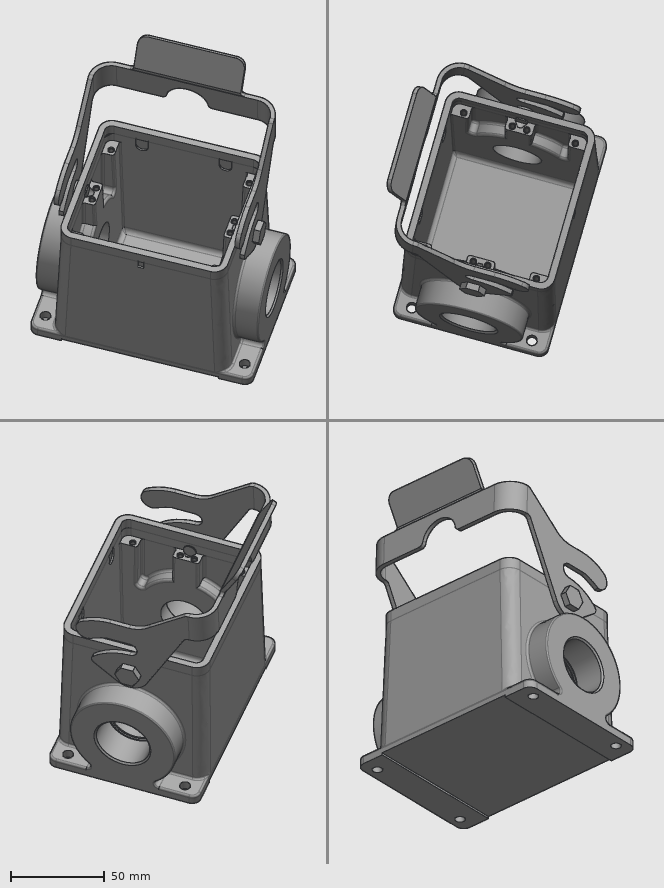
import cadquery as cq
import math

PICK_GAP = 0.1

BASE_X = 124.6
BASE_Y = 86.0
BASE_TOP = 5.5
BASE_CORNER_R = 5.0
BASE_EDGE_R = 1.2
MOUNT_HOLE_D = 5.7
MOUNT_X = 55.85
MOUNT_Y = 33.4
RELIEF_X = 88.0
RELIEF_DEPTH = 1.3

BODY_FOOT_Z = 2.0
BODY_FOOT_X = 99.0
BODY_FOOT_Y = BASE_Y
RIM_X = 93.2
RIM_Y = 83.0
RIM_Z = 83.5
BODY_TOP = 90.0
BODY_CORNER_R = 7.5

FLOOR_Z = 4.5
OPENING_X = 86.2
OPENING_Y = 75.4
OPENING_CORNER_R = 4.0
CAVITY_TOP_X = 72.4
PILLAR_LEVEL_X = 85.8
CAVITY_FLOOR_X = 66.6
CAVITY_FLOOR_Y = 70.6
CAVITY_CORNER_R = 1.0
FLOOR_FILLET_R = 2.8

PILLAR_TOP = 77.7
MID_PILLAR_HALF_Y = 7.6
END_PILLAR_Y = 27.6
SADDLE_R = 28.0
SADDLE_FILLET_R = 2.5
PILLAR_EDGE_R = 1.5
POCKET_BACK_R = 1.5
SCREW_X = 38.7
SCREW_Y = (4.0, 31.1)
SCREW_PILOT_D = 2.5
SCREW_PILOT_DEPTH = 14.0
SCREW_LEAD_D = 3.5
SCREW_LEAD_DEPTH = 1.0

FRONT_NOTCH_WIDTH = 3.2
FRONT_NOTCH_HEIGHT = 4.8
FRONT_NOTCH_DEPTH = 1.0
INNER_NOTCH_WIDTH = 7.0
INNER_NOTCH_HEIGHT = 8.5
INNER_NOTCH_CORNER_R = 3.4
INNER_NOTCH_DEPTH = 0.8
INNER_NOTCH_X = 23.4

BORE_Z = 32.9
BOSS_R = 29.9
BOSS_FOOT_R = 2.5
BOSS_EDGE_R = 0.7
ROOT_FILLET_R = 1.2
BOSS_INNER_X = 44.0
ENTRY_D = 30.5
ENTRY_DEPTH = 18.0
ENTRY_CHAMFER = 1.0
THROUGH_D = 27.0
STEP_D = 29.0
STEP_DEPTH = 1.0

PIN_Z = 78.5
PIN_SHANK_D = 9.0
PIN_END_D = 7.2
PIN_END_X = 42.3
PIN_DRILL_TIP_D = 2.7
PIN_DRILL_TIP_X = 38.9
HEX_FLATS = 12.0
HEX_END_X = 55.6

LEVER_X = 104.0
SHEET = 2.6
LEVER_BEND_R = 12.5
LEVER_TILT = 2.2
BAND_TOP = 135.0
BAND_BOTTOM = 117.1
BAND_TOP_Y = 46.2
PIN_LOBE_R = 11.3
SLOT_R = 4.3
SLOT_Y = 0.3
SLOT_Z = 96.7
BAND_FRONT_Y = 34.1
UPPER_SHOULDER_MID = (32.6, 134.8)
UPPER_SHOULDER_END = (31.3, 134.1)
NECK_START = (11.3, 118.2)
NECK_MID = (6.0, 114.8)
NECK_END_Y = 0.1
HOOK_TOP = 113.5
HOOK_STRAIGHT_Y = -11.2
HOOK_BACK_MID = (-19.5, 112.2)
HOOK_BACK_END = (-26.7, 109.0)
HOOK_NOSE = (-30.4, 103.2)
HOOK_TIP_END = (-23.2, 96.7)
HOOK_THROAT_MID = (-18.0, 99.2)
HOOK_THROAT_Y = -12.7
JAW_TOP_MID = (-11.0, 89.9)
JAW_TOP_END = (-20.9, 83.4)
JAW_NOSE = (-21.4, 81.7)
JAW_BOTTOM_START = (-20.6, 79.6)
PIN_LOBE_START = (-6.6, 69.3)
PIN_LOBE_LOW_Y = 1.0
PIN_LOBE_END = (10.0, 73.3)
LOWER_SHOULDER_START = (31.2, 115.4)
LOWER_SHOULDER_MID = (32.4, 116.7)

BAND_NOTCH_HALF = 11.5
BAND_NOTCH_TOP = 129.4
BAND_NOTCH_LIP_R = 3.0

TAB_ANGLE = 28.5
TAB_BEND_Z = 136.9
TAB_WIDTH = 60.0
TAB_TOP_Z = 154.26
OVERALL_Y = 98.61
TAB_REAR_Y = OVERALL_Y - BASE_Y / 2
TAB_CORNER_R = 5.5


def rounded_box(size_x, size_y, corner_r, z_low, z_high):
    """Upright block centred on the Z axis with rounded vertical edges."""
    block = cq.Workplane("XY").workplane(offset=z_low).rect(size_x, size_y).extrude(z_high - z_low)
    return block.edges("|Z").fillet(corner_r)


def rounded_rect(size_x, size_y, corner_r):
    return cq.Sketch().rect(size_x, size_y).vertices().fillet(corner_r)


def rod(diameter, x_start, x_end, y, z):
    """Cylinder along X between two X positions."""
    return cq.Workplane("YZ", origin=(x_start, y, z)).circle(diameter / 2).extrude(x_end - x_start)


def on_both_ends(shape):
    """The shape together with its mirror image at the other X end."""
    return shape.union(shape.mirror("YZ"))


def make_base():
    base = rounded_box(BASE_X, BASE_Y, BASE_CORNER_R, 0, BASE_TOP)
    return base.faces(">Z").edges().fillet(BASE_EDGE_R)


def make_body():
    to_rim = cq.Location(cq.Vector(0, 0, RIM_Z - BODY_FOOT_Z))
    foot = rounded_rect(BODY_FOOT_X, BODY_FOOT_Y, BODY_CORNER_R)
    shoulder = rounded_rect(RIM_X, RIM_Y, BODY_CORNER_R).moved(to_rim)
    drafted = cq.Workplane("XY", origin=(0, 0, BODY_FOOT_Z)).placeSketch(foot, shoulder).loft()
    return drafted.union(rounded_box(RIM_X, RIM_Y, BODY_CORNER_R, RIM_Z, BODY_TOP))


def make_boss():
    """Cable entry boss on the +X end: a round boss whose flanks flare into a foot on the flange."""
    flare_z = BASE_TOP + BOSS_FOOT_R
    reach = BOSS_R + BOSS_FOOT_R
    flare_y = math.sqrt(reach ** 2 - (BORE_Z - flare_z) ** 2)
    tangent_y = flare_y * BOSS_R / reach
    tangent_z = BORE_Z - (BORE_Z - flare_z) * BOSS_R / reach
    waist_y = flare_y - BOSS_FOOT_R
    profile = (
        cq.Workplane("YZ", origin=(BOSS_INNER_X, 0, 0))
        .moveTo(-flare_y, BODY_FOOT_Z)
        .lineTo(-flare_y, BASE_TOP)
        .threePointArc((-waist_y, flare_z), (-tangent_y, tangent_z))
        .threePointArc((0, BORE_Z + BOSS_R), (tangent_y, tangent_z))
        .threePointArc((waist_y, flare_z), (flare_y, BASE_TOP))
        .lineTo(flare_y, BODY_FOOT_Z)
        .close()
    )
    boss = profile.extrude(BASE_X / 2 - BOSS_INNER_X)
    rim = cq.selectors.BoxSelector(
        (BASE_X / 2 - PICK_GAP, -BOSS_R - PICK_GAP, BASE_TOP + PICK_GAP),
        (BASE_X / 2 + PICK_GAP, BOSS_R + PICK_GAP, BORE_Z + BOSS_R + PICK_GAP),
    )
    return boss.edges(rim).fillet(BOSS_EDGE_R)


def fillet_wall_roots(housing):
    """Round the corners where the drafted end walls meet the flange and the bosses."""
    wall_x = BODY_FOOT_X / 2 + PICK_GAP
    wall_y = BODY_FOOT_Y / 2 - BASE_EDGE_R - PICK_GAP
    roots = cq.selectors.BoxSelector(
        (-wall_x, -wall_y, BASE_TOP - PICK_GAP), (wall_x, wall_y, BORE_Z + BOSS_R + PICK_GAP)
    )
    return housing.edges(roots).fillet(ROOT_FILLET_R)


def drafted_opening(top_x, floor_x, floor_z):
    """Square-cornered drafted opening from the rim down to floor_z, with one draft on the long walls."""
    depth = RIM_Z - floor_z
    floor_y = OPENING_Y - (OPENING_Y - CAVITY_FLOOR_Y) * depth / (RIM_Z - FLOOR_Z)
    return (
        cq.Workplane("XY", origin=(0, 0, floor_z))
        .rect(floor_x, floor_y)
        .workplane(offset=depth)
        .rect(top_x, OPENING_Y)
        .loft()
    )


def make_cavity():
    rim = rounded_box(OPENING_X, OPENING_Y, OPENING_CORNER_R, RIM_Z, BODY_TOP)
    above_pillars = drafted_opening(OPENING_X, PILLAR_LEVEL_X, PILLAR_TOP)
    above_pillars = above_pillars.edges("not #Z").fillet(OPENING_CORNER_R)
    main = drafted_opening(CAVITY_TOP_X, CAVITY_FLOOR_X, FLOOR_Z)
    main = main.faces("<Z").edges().fillet(FLOOR_FILLET_R)
    between_ends = cq.selectors.BoxSelector(
        (-OPENING_X, -OPENING_Y, FLOOR_Z + FLOOR_FILLET_R + PICK_GAP),
        (OPENING_X, OPENING_Y, RIM_Z - PICK_GAP),
    )
    main = main.edges(between_ends).fillet(CAVITY_CORNER_R)
    return rim.union(above_pillars).union(main)


def make_pillar_pocket():
    """Pocket between the middle and +Y end pillars, with its floor curved around the cable bore."""
    start_x = CAVITY_FLOOR_X / 2 - FLOOR_FILLET_R
    reach = SADDLE_R + SADDLE_FILLET_R
    corner_y = END_PILLAR_Y - SADDLE_FILLET_R
    corner_z = math.sqrt(reach ** 2 - corner_y ** 2)
    slope = SADDLE_R / reach
    inner_z = math.sqrt(SADDLE_R ** 2 - MID_PILLAR_HALF_Y ** 2)
    crown = math.atan2((inner_z + corner_z * slope) / 2, (MID_PILLAR_HALF_Y + corner_y * slope) / 2)
    low_angle = math.atan2(-corner_z, -corner_y) / 2
    pocket = (
        cq.Workplane("YZ", origin=(start_x, 0, BORE_Z))
        .moveTo(MID_PILLAR_HALF_Y, PILLAR_TOP - BORE_Z)
        .lineTo(MID_PILLAR_HALF_Y, inner_z)
        .threePointArc(
            (SADDLE_R * math.cos(crown), SADDLE_R * math.sin(crown)), (corner_y * slope, corner_z * slope)
        )
        .threePointArc(
            (
                corner_y + SADDLE_FILLET_R * math.cos(low_angle),
                corner_z + SADDLE_FILLET_R * math.sin(low_angle),
            ),
            (END_PILLAR_Y, corner_z),
        )
        .lineTo(END_PILLAR_Y, PILLAR_TOP - BORE_Z)
        .close()
        .extrude(PILLAR_LEVEL_X / 2 - start_x)
    )
    return pocket.faces(">X").edges("not >Z").fillet(POCKET_BACK_R)


def cut_pillar_pockets(housing):
    """Cut the pockets that leave the pillars standing, and round their mouths."""
    pocket = make_pillar_pocket()
    housing = housing.cut(on_both_ends(pocket.union(pocket.mirror("XZ"))))
    inner_x = CAVITY_FLOOR_X / 2
    outer_x = CAVITY_TOP_X / 2
    mouth_y = END_PILLAR_Y + PICK_GAP
    mouths = []
    for low_x, high_x in ((-outer_x, -inner_x), (inner_x, outer_x)):
        wall = cq.selectors.BoxSelector(
            (low_x, -mouth_y, BORE_Z), (high_x, mouth_y, PILLAR_TOP - PICK_GAP)
        )
        mouths += housing.edges(wall).vals()
    return housing.newObject(mouths).fillet(PILLAR_EDGE_R)


def cut_pillar_screws(housing):
    places = [(sx * SCREW_X, sy * y) for sx in (-1, 1) for sy in (-1, 1) for y in SCREW_Y]
    top = cq.Workplane("XY", origin=(0, 0, PILLAR_TOP)).pushPoints(places)
    pilots = top.circle(SCREW_PILOT_D / 2).extrude(-SCREW_PILOT_DEPTH)
    leads = top.circle(SCREW_LEAD_D / 2).extrude(-SCREW_LEAD_DEPTH)
    return housing.cut(pilots).cut(leads)


def cut_pin_drill_points(housing):
    """Conical ends of the pin holes, leaving a groove in the top of each middle pillar."""
    point = (
        cq.Workplane("YZ", origin=(PIN_DRILL_TIP_X, 0, PIN_Z))
        .circle(PIN_DRILL_TIP_D / 2)
        .workplane(offset=PIN_END_X - PIN_DRILL_TIP_X)
        .circle(PIN_END_D / 2)
        .loft()
    )
    return housing.cut(on_both_ends(point))


def cut_cable_entry(housing):
    face_x = BASE_X / 2
    seat_x = face_x - ENTRY_DEPTH
    entry = rod(ENTRY_D, seat_x, face_x, 0, BORE_Z)
    step = rod(STEP_D, seat_x - STEP_DEPTH, seat_x, 0, BORE_Z)
    mouth = (
        cq.Workplane("YZ", origin=(face_x, 0, BORE_Z))
        .circle(ENTRY_D / 2 + ENTRY_CHAMFER)
        .workplane(offset=-ENTRY_CHAMFER)
        .circle(ENTRY_D / 2)
        .loft()
    )
    housing = housing.cut(on_both_ends(entry.union(step).union(mouth)))
    return housing.cut(rod(THROUGH_D, -face_x, face_x, 0, BORE_Z))


def cut_notches(housing):
    front = (
        cq.Workplane("XY")
        .box(FRONT_NOTCH_WIDTH, BASE_Y, FRONT_NOTCH_HEIGHT, centered=(True, False, False))
        .translate((0, -BASE_Y - RIM_Y / 2 + FRONT_NOTCH_DEPTH, RIM_Z - FRONT_NOTCH_HEIGHT))
    )
    depth_y = OPENING_Y + 2 * INNER_NOTCH_DEPTH
    inner = (
        cq.Workplane("XZ", origin=(0, depth_y / 2, RIM_Z - INNER_NOTCH_HEIGHT / 2))
        .rect(INNER_NOTCH_WIDTH, INNER_NOTCH_HEIGHT)
        .extrude(depth_y)
        .edges("|Y and <Z")
        .fillet(INNER_NOTCH_CORNER_R)
    )
    for side in (-1, 1):
        housing = housing.cut(inner.translate((side * INNER_NOTCH_X, 0, 0)))
    return housing.cut(front)


def make_housing():
    housing = make_base().union(on_both_ends(make_boss())).union(make_body())
    housing = fillet_wall_roots(housing)
    housing = housing.cut(make_cavity())
    housing = cut_pillar_pockets(housing)
    housing = cut_pillar_screws(housing)
    housing = cut_pin_drill_points(housing)
    housing = cut_cable_entry(housing)
    housing = cut_notches(housing)
    mounts = (
        cq.Workplane("XY")
        .rect(2 * MOUNT_X, 2 * MOUNT_Y, forConstruction=True)
        .vertices()
        .circle(MOUNT_HOLE_D / 2)
        .extrude(BASE_TOP)
    )
    relief = cq.Workplane("XY").box(RELIEF_X, BASE_Y, RELIEF_DEPTH, centered=(True, True, False))
    return housing.cut(mounts).cut(relief)


def make_pin():
    """Pivot pin on the +X end: hexagon head, shank and flat end in the end wall."""
    plate_x = LEVER_X / 2
    head = (
        cq.Workplane("YZ", origin=(plate_x, 0, PIN_Z))
        .polygon(6, HEX_FLATS / math.cos(math.pi / 6))
        .extrude(HEX_END_X - plate_x)
    )
    shank = rod(PIN_SHANK_D, BOSS_INNER_X, plate_x, 0, PIN_Z)
    end = rod(PIN_END_D, PIN_END_X, plate_x, 0, PIN_Z)
    return head.union(shank).union(end)


def make_lever_silhouette():
    """Side outline of the lever, seen along X and extruded over its full width."""
    behind_y = BASE_Y
    slot_top = SLOT_Z + SLOT_R
    slot_bottom = SLOT_Z - SLOT_R
    return (
        cq.Workplane("YZ", origin=(-LEVER_X / 2, 0, 0))
        .moveTo(behind_y, BAND_TOP)
        .lineTo(BAND_FRONT_Y, BAND_TOP)
        .threePointArc(UPPER_SHOULDER_MID, UPPER_SHOULDER_END)
        .lineTo(*NECK_START)
        .threePointArc(NECK_MID, (NECK_END_Y, HOOK_TOP))
        .lineTo(HOOK_STRAIGHT_Y, HOOK_TOP)
        .threePointArc(HOOK_BACK_MID, HOOK_BACK_END)
        .threePointArc(HOOK_NOSE, HOOK_TIP_END)
        .threePointArc(HOOK_THROAT_MID, (HOOK_THROAT_Y, slot_top))
        .lineTo(SLOT_Y, slot_top)
        .threePointArc((SLOT_Y + SLOT_R, SLOT_Z), (SLOT_Y, slot_bottom))
        .threePointArc(JAW_TOP_MID, JAW_TOP_END)
        .threePointArc(JAW_NOSE, JAW_BOTTOM_START)
        .lineTo(*PIN_LOBE_START)
        .threePointArc((PIN_LOBE_LOW_Y, PIN_Z - PIN_LOBE_R), PIN_LOBE_END)
        .lineTo(*LOWER_SHOULDER_START)
        .threePointArc(LOWER_SHOULDER_MID, (BAND_FRONT_Y, BAND_BOTTOM))
        .lineTo(behind_y, BAND_BOTTOM)
        .close()
        .extrude(LEVER_X)
    )


def make_tab():
    """Finger tab: an upright root flaring into the band, bent outward into a round-cornered plate."""
    tilt = math.radians(TAB_ANGLE)
    root_height = TAB_BEND_Z - BAND_TOP
    length = (TAB_TOP_Z - TAB_BEND_Z) / math.cos(tilt)
    front_y = TAB_REAR_Y - SHEET * math.cos(tilt) - length * math.sin(tilt)
    half = TAB_WIDTH / 2
    flare = half + root_height
    flare_x = flare - root_height * math.sqrt(0.5)
    flare_z = root_height * (1 - math.sqrt(0.5))
    root = (
        cq.Workplane("XZ")
        .moveTo(-flare, 0)
        .threePointArc((-flare_x, flare_z), (-half, root_height))
        .lineTo(half, root_height)
        .threePointArc((flare_x, flare_z), (flare, 0))
        .close()
        .extrude(-SHEET)
        .translate((0, front_y, BAND_TOP))
    )
    plate = (
        cq.Workplane("XY")
        .box(TAB_WIDTH, SHEET, length, centered=(True, False, False))
        .edges("|Y and >Z")
        .fillet(TAB_CORNER_R)
        .rotate((0, 0, 0), (1, 0, 0), -TAB_ANGLE)
        .translate((0, front_y, TAB_BEND_Z))
    )
    return root.union(plate)


def make_lever():
    arm_y = 2 * BASE_Y
    outer = cq.Workplane("XY").rect(LEVER_X, arm_y).extrude(2 * BAND_TOP)
    outer = outer.edges("|Z and >Y").fillet(LEVER_BEND_R)
    inner = cq.Workplane("XY").rect(LEVER_X - 2 * SHEET, arm_y).extrude(2 * BAND_TOP)
    inner = inner.edges("|Z and >Y").fillet(LEVER_BEND_R - SHEET).translate((0, -SHEET, 0))
    strap = outer.cut(inner).translate((0, BAND_TOP_Y - arm_y / 2, 0))
    pivot = (0, BAND_TOP_Y, BAND_TOP)
    strap = strap.rotate(pivot, (1, BAND_TOP_Y, BAND_TOP), LEVER_TILT)
    lever = strap.intersect(make_lever_silhouette())

    lip = BAND_NOTCH_LIP_R
    lip_mid = lip * math.sqrt(0.5)
    lip_x = BAND_NOTCH_HALF + lip
    lip_z = BAND_BOTTOM + lip
    notch = (
        cq.Workplane("XZ", origin=(0, BASE_Y, 0))
        .moveTo(-lip_x, BAND_BOTTOM)
        .threePointArc((-lip_x + lip_mid, lip_z - lip_mid), (-BAND_NOTCH_HALF, lip_z))
        .threePointArc((0, BAND_NOTCH_TOP), (BAND_NOTCH_HALF, lip_z))
        .threePointArc((lip_x - lip_mid, lip_z - lip_mid), (lip_x, BAND_BOTTOM))
        .close()
        .extrude(BASE_Y)
    )
    return lever.cut(notch).union(make_tab())


result = make_housing().union(on_both_ends(make_pin())).union(make_lever())